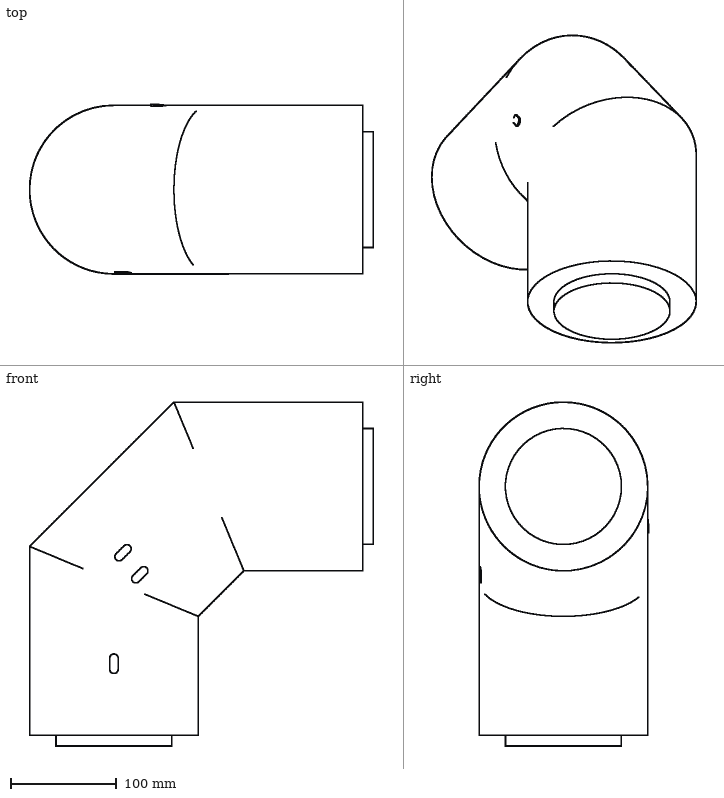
import cadquery as cq
import math

pipe_diameter = 160.0
stub_diameter = 110.0
stub_length = 10.0
overall_size = 326.0
leg_length = 146.0
bend = math.radians(45.0)

mark_length = 18.5
mark_width = 8.0
recess_depth = 0.5
lower_mark_height = 78.0
front_mark_positions = [(25.3, 13.1), (21.8, -12.9)]
back_tab_position = (68.3, 7.8)
back_tab_height = 1.1
back_tab_root_y = 70.0

pipe_radius = pipe_diameter / 2
mitre_rise = pipe_radius * math.tan(bend / 2)
pipe_end = overall_size - pipe_radius - stub_length
upper_axis_z = overall_size - pipe_radius
lower_joint = (0, 0, stub_length + leg_length)
upper_joint = (pipe_end - leg_length, 0, upper_axis_z)

lower_axis = (0, 0, 1)
middle_axis = (math.sin(bend), 0, math.cos(bend))
upper_axis = (1, 0, 0)


def round_bar(start, axis, diameter, length, both=False):
    """Cylinder from start along axis, or to both sides of start."""
    plane = cq.Plane(origin=start, xDir=(0, 1, 0), normal=axis)
    return cq.Workplane(plane).circle(diameter / 2).extrude(length, both=both)


def pipe_segment(joint, axis, outline):
    """Pipe through joint along axis, trimmed to an outline in the XZ plane."""
    trim = cq.Workplane("XZ").polyline(outline).close().extrude(pipe_diameter, both=True)
    return round_bar(joint, axis, pipe_diameter, overall_size, both=True).intersect(trim)


def elbow_body():
    """Three mitred segments with a narrower stub at each end."""
    lower_outer = (-pipe_radius, lower_joint[2] + mitre_rise)
    lower_inner = (pipe_radius, lower_joint[2] - mitre_rise)
    upper_outer = (upper_joint[0] - mitre_rise, upper_axis_z + pipe_radius)
    upper_inner = (upper_joint[0] + mitre_rise, upper_axis_z - pipe_radius)
    bottom_face = [(pipe_radius, stub_length), (-pipe_radius, stub_length)]
    side_face = [(pipe_end, upper_axis_z - pipe_radius), (pipe_end, upper_axis_z + pipe_radius)]

    lower = pipe_segment(lower_joint, lower_axis, [lower_outer, lower_inner] + bottom_face)
    middle = pipe_segment(lower_joint, middle_axis, [lower_outer, upper_outer, upper_inner, lower_inner])
    upper = pipe_segment(upper_joint, upper_axis, [upper_outer, upper_inner] + side_face)
    lower_stub = round_bar((0, 0, 0), lower_axis, stub_diameter, lower_joint[2])
    upper_stub = round_bar(upper_joint, upper_axis, stub_diameter, leg_length + stub_length)
    return lower.union(middle).union(upper).union(lower_stub).union(upper_stub)


def front_recess(origin, axis, along, across):
    """Cutter for a shallow obround on the -Y side whose floor follows the pipe's curve."""
    plane = cq.Plane(origin=origin, xDir=axis, normal=(0, -1, 0))
    obround = cq.Workplane(plane).center(along, across).slot2D(mark_length, mark_width)
    core = round_bar(origin, axis, pipe_diameter - 2 * recess_depth, overall_size, both=True)
    return obround.extrude(pipe_diameter).cut(core)


def back_tab():
    """Obround tab on the +Y side, proud at its lower end and flush with the pipe at its upper end."""
    along, across = back_tab_position
    flush_y = math.sqrt(pipe_radius**2 - across**2)
    proud_y = pipe_radius + back_tab_height
    plane = cq.Plane(origin=lower_joint, xDir=middle_axis, normal=(0, 1, 0))
    obround = cq.Workplane(plane).workplane(offset=back_tab_root_y).center(along, -across)
    tab = obround.slot2D(mark_length, mark_width).extrude(proud_y - back_tab_root_y)
    start = along - mark_length / 2
    end = along + mark_length / 2
    side_plane = cq.Plane(
        origin=lower_joint,
        xDir=middle_axis,
        normal=(-middle_axis[2], 0, middle_axis[0]),
    )
    wedge = cq.Workplane(side_plane).polyline(
        [(start, back_tab_root_y), (end, back_tab_root_y), (end, flush_y), (start, proud_y)]
    )
    return tab.intersect(wedge.close().extrude(pipe_radius, both=True))


result = elbow_body()
result = result.cut(front_recess((0, 0, 0), lower_axis, lower_mark_height, 0))
for along_axis, across_axis in front_mark_positions:
    result = result.cut(front_recess(lower_joint, middle_axis, along_axis, across_axis))
result = result.union(back_tab())